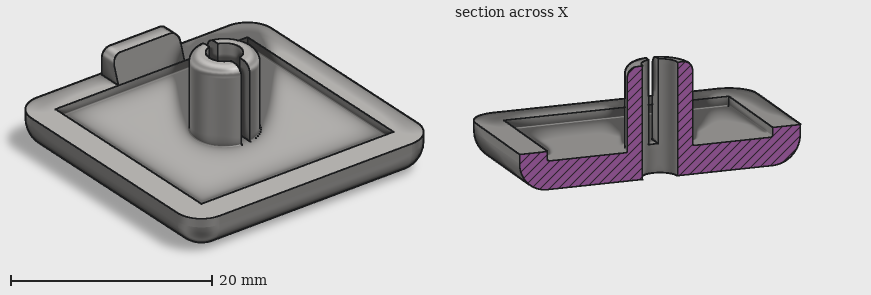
import cadquery as cq
import math

plate_side = 30.0
plate_height = 4.0
edge_radius = 3.0

rim_width = 3.0
recess_depth = 1.0
recess_side = plate_side - 2 * rim_width
recess_floor = plate_height - recess_depth
root_radius = 0.15

total_height = 11.8
post_diameter = 7.02
post_round = 1.05
bore_diameter = 3.72
slot_width = 1.05

tab_setback = 0.25
tab_top_thickness = 1.7
tab_height = 3.0
tab_width = 8.25
tab_round = 1.05


def make_plate():
    """Plate with rounded corners and underside, and the recess cut from its top."""
    plate = (
        cq.Workplane("XY")
        .rect(plate_side, plate_side)
        .extrude(plate_height)
        .edges("|Z")
        .fillet(edge_radius)
        .faces("<Z")
        .edges()
        .fillet(edge_radius)
    )
    recess = (
        cq.Workplane("XY", origin=(0, 0, recess_floor))
        .rect(recess_side, recess_side)
        .extrude(recess_depth)
        .faces("<Z")
        .edges()
        .fillet(root_radius)
    )
    return plate.cut(recess)


def make_post():
    """Post with a rounded top and a small fillet flaring out at the recess floor."""
    radius = post_diameter / 2
    diagonal = math.sqrt(0.5)
    top_arc_middle = (
        radius - post_round * (1 - diagonal),
        total_height - post_round * (1 - diagonal),
    )
    root_arc_middle = (
        radius + root_radius * (1 - diagonal),
        recess_floor + root_radius * (1 - diagonal),
    )
    embedded_base = recess_floor / 2
    return (
        cq.Workplane("XZ")
        .moveTo(0, embedded_base)
        .lineTo(radius + root_radius, embedded_base)
        .lineTo(radius + root_radius, recess_floor)
        .threePointArc(root_arc_middle, (radius, recess_floor + root_radius))
        .lineTo(radius, total_height - post_round)
        .threePointArc(top_arc_middle, (radius - post_round, total_height))
        .lineTo(0, total_height)
        .close()
        .revolve(360, (0, 0, 0), (0, 1, 0))
    )


def make_tab():
    """Tab with an upright outer face, a sloping inner face and rounded top ends."""
    outer_x = -plate_side / 2 + tab_setback
    inner_x = -recess_side / 2
    tab_top = plate_height + tab_height
    wedge = (
        cq.Workplane("XZ")
        .polyline([
            (outer_x, plate_height),
            (inner_x, plate_height),
            (outer_x + tab_top_thickness, tab_top),
            (outer_x, tab_top),
        ])
        .close()
        .extrude(tab_width / 2, both=True)
    )
    return wedge.faces(">Z").edges("|X").fillet(tab_round)


bore = cq.Workplane("XY").circle(bore_diameter / 2).extrude(total_height)
slot = (
    cq.Workplane("XY", origin=(0, 0, recess_floor))
    .rect(recess_side / 2, slot_width)
    .extrude(total_height - recess_floor)
)

result = make_plate().union(make_post()).union(make_tab()).cut(bore).cut(slot)